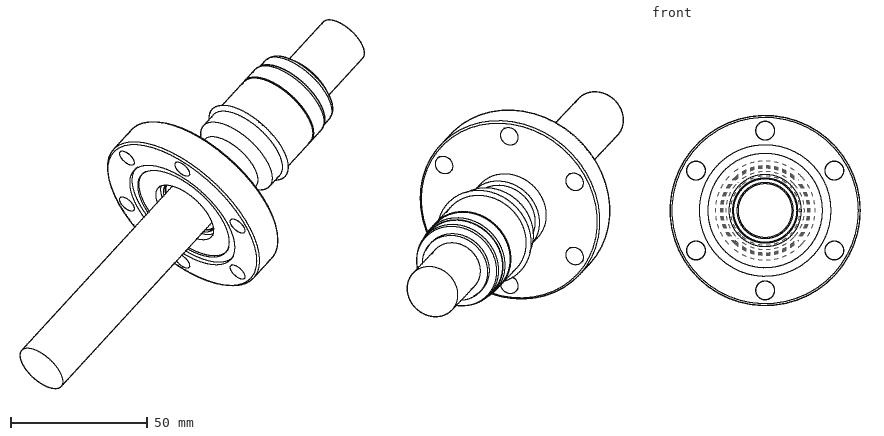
import cadquery as cq

LENGTH = 184.2
ROD_DIAMETER = 19.7
ROD_RADIUS = ROD_DIAMETER / 2
ROD_BACK = LENGTH / 2

FLANGE_DIAMETER = 69.8
FLANGE_RADIUS = FLANGE_DIAMETER / 2
FLANGE_FRONT = -6.0
FLANGE_THICKNESS = 12.7
FLANGE_BACK = FLANGE_FRONT + FLANGE_THICKNESS
FLANGE_CHAMFER = 0.7
BOLT_COUNT = 6
FIRST_BOLT_ANGLE = 90
BOLT_HOLE_DIAMETER = 6.8
BOLT_CIRCLE_RADIUS = 29.3

SEAL_OUTER_RADIUS = 24.1
SEAL_INNER_RADIUS = 21.0
SEAL_GROOVE_DEPTH = 1.5
SEAL_TIP_DEPTH = 0.7
SEAL_FACE_DEPTH = 1.5

COLLAR_RADIUS = 14.4
COLLAR_BACK = 14.2
NECK_RADIUS = 12.7
NECK_BACK = 23.2
BODY_DIAMETER = 33.0
BODY_RADIUS = BODY_DIAMETER / 2
CONE_BACK = NECK_BACK + BODY_RADIUS - NECK_RADIUS
RIM_RADIUS = 18.2
RIM_FRONT = 33.1
RIM_PEAK = 34.5
RIM_BACK = 35.0
SEAM_START = 52.0
SEAM_WIDTH = 0.4
SEAM_DEPTH = 0.2
BODY_BACK = 59.7
CAP_DIAMETER = 31.9
CAP_RADIUS = CAP_DIAMETER / 2
CAP_BACK = 65.2
EDGE_BREAK = 1.1
EDGE_INSET = 0.4
SHOULDER_BACK = 67.0

BORE_RADIUS = 13.3
BORE_DEPTH = 4.5
BORE_END = FLANGE_FRONT + BORE_DEPTH
LEDGE_BORE_RADIUS = 12.0
LEDGE_DEPTH = 1.0
LEDGE_BORE_END = BORE_END + LEDGE_DEPTH
NECK_BORE_RADIUS = 11.6
NECK_BORE_END = NECK_BACK
INNER_BORE_RADIUS = 10.3
INNER_BORE_END = BODY_BACK


def revolve_about_rod(points):
    """Revolve a closed (radius, Y) outline about the Y axis."""
    return cq.Workplane("XY").polyline(points).close().revolve(360, (0, 0), (0, 1))


def make_rod():
    return cq.Workplane("XZ", origin=(0, ROD_BACK, 0)).circle(ROD_RADIUS).extrude(LENGTH)


def make_flange():
    flange = (
        cq.Workplane("XZ", origin=(0, FLANGE_BACK, 0))
        .circle(FLANGE_RADIUS)
        .extrude(FLANGE_THICKNESS)
        .edges()
        .chamfer(FLANGE_CHAMFER)
    )
    bolt_holes = (
        cq.Workplane("XZ", origin=(0, FLANGE_BACK, 0))
        .polarArray(BOLT_CIRCLE_RADIUS, FIRST_BOLT_ANGLE, 360, BOLT_COUNT)
        .circle(BOLT_HOLE_DIAMETER / 2)
        .extrude(FLANGE_THICKNESS)
    )
    seal_recess = revolve_about_rod([
        (0, FLANGE_FRONT),
        (SEAL_OUTER_RADIUS, FLANGE_FRONT),
        (SEAL_OUTER_RADIUS, FLANGE_FRONT + SEAL_GROOVE_DEPTH),
        (SEAL_INNER_RADIUS, FLANGE_FRONT + SEAL_TIP_DEPTH),
        (SEAL_INNER_RADIUS, FLANGE_FRONT + SEAL_FACE_DEPTH),
        (0, FLANGE_FRONT + SEAL_FACE_DEPTH),
    ])
    return flange.cut(bolt_holes).cut(seal_recess)


def make_sleeve():
    return revolve_about_rod([
        (0, FLANGE_BACK),
        (COLLAR_RADIUS, FLANGE_BACK),
        (COLLAR_RADIUS, COLLAR_BACK),
        (NECK_RADIUS, COLLAR_BACK),
        (NECK_RADIUS, NECK_BACK),
        (BODY_RADIUS, CONE_BACK),
        (BODY_RADIUS, RIM_FRONT),
        (RIM_RADIUS, RIM_PEAK),
        (BODY_RADIUS, RIM_BACK),
        (BODY_RADIUS, SEAM_START),
        (BODY_RADIUS - SEAM_DEPTH, SEAM_START),
        (BODY_RADIUS - SEAM_DEPTH, SEAM_START + SEAM_WIDTH),
        (BODY_RADIUS, SEAM_START + SEAM_WIDTH),
        (BODY_RADIUS, BODY_BACK - EDGE_BREAK),
        (BODY_RADIUS - EDGE_INSET, BODY_BACK),
        (CAP_RADIUS, BODY_BACK),
        (CAP_RADIUS, CAP_BACK - EDGE_BREAK),
        (CAP_RADIUS - EDGE_INSET, CAP_BACK),
        (NECK_RADIUS, CAP_BACK),
        (NECK_RADIUS, SHOULDER_BACK),
        (0, SHOULDER_BACK),
    ])


def make_bore():
    return revolve_about_rod([
        (0, FLANGE_FRONT),
        (BORE_RADIUS, FLANGE_FRONT),
        (BORE_RADIUS, BORE_END),
        (LEDGE_BORE_RADIUS, BORE_END),
        (LEDGE_BORE_RADIUS, LEDGE_BORE_END),
        (NECK_BORE_RADIUS, LEDGE_BORE_END),
        (NECK_BORE_RADIUS, NECK_BORE_END),
        (INNER_BORE_RADIUS, NECK_BORE_END),
        (INNER_BORE_RADIUS, INNER_BORE_END),
        (0, INNER_BORE_END),
    ])


result = make_flange().union(make_sleeve()).cut(make_bore()).union(make_rod())